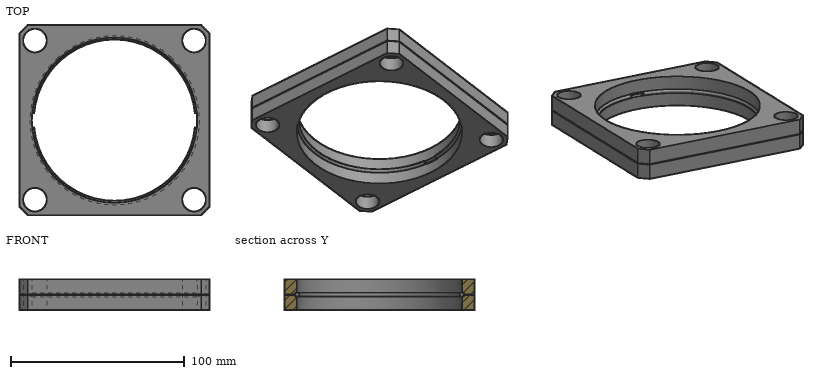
import cadquery as cq

side = 110.0
thickness = 18.0
corner_chamfer = 5.0

gap_height = 0.4
plate_thickness = (thickness - gap_height) / 2

bore_diameter = 95.5
hole_diameter = 13.5
hole_spacing = 92.0

ring_radius = 1.2
ring_opening = 8.2


def plate(bottom):
    """One chamfered square plate with its bore and corner holes, standing on the given height."""
    return (
        cq.Workplane("XY", origin=(0, 0, bottom))
        .rect(side, side)
        .extrude(plate_thickness)
        .edges("|Z")
        .chamfer(corner_chamfer)
        .faces(">Z")
        .workplane()
        .hole(bore_diameter)
        .faces(">Z")
        .workplane()
        .rect(hole_spacing, hole_spacing, forConstruction=True)
        .vertices()
        .hole(hole_diameter)
    )


def full_ring():
    """Closed round ring whose section is centred on the bore wall, midway between the plates."""
    return cq.Workplane(cq.Solid.makeTorus(bore_diameter / 2, ring_radius))


upper_plate = plate(gap_height / 2)
lower_plate = plate(-thickness / 2)

ring_seat = full_ring()
opening_cutter = cq.Workplane("XY").box(side, ring_opening, thickness)
ring = full_ring().cut(opening_cutter)

plates = upper_plate.union(lower_plate).cut(ring_seat)
result = plates.union(ring)